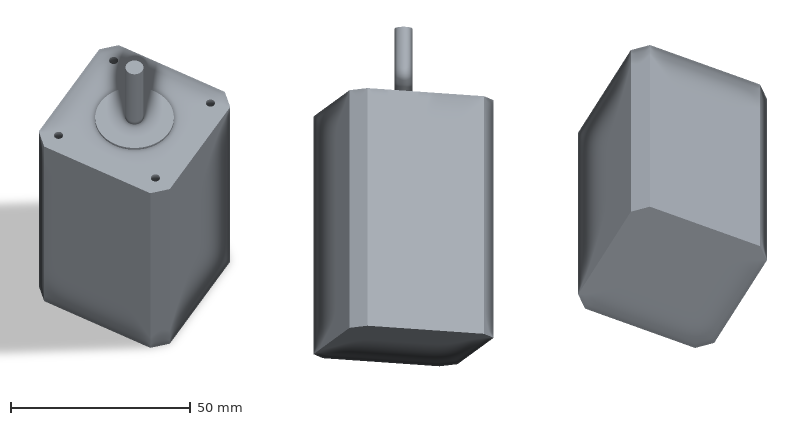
import cadquery as cq
import math

total_height = 90.75
body_width = 42.0
body_height = 68.0
corner_chamfer = 4.0

pilot_diameter = 22.0
pilot_height = 0.7
shaft_diameter = 5.0

hole_spacing = 31.0
hole_diameter = 2.5
hole_depth = 4.5
drill_point_angle = 118.0

body = (
    cq.Workplane("XY")
    .rect(body_width, body_width)
    .extrude(body_height)
    .edges("|Z")
    .chamfer(corner_chamfer)
)

hole_radius = hole_diameter / 2
tip_height = hole_radius / math.tan(math.radians(drill_point_angle / 2))
drill_profile = (
    cq.Workplane("XZ")
    .moveTo(0, 0)
    .lineTo(hole_radius, 0)
    .lineTo(hole_radius, -hole_depth)
    .lineTo(0, -hole_depth - tip_height)
    .close()
)
drill = drill_profile.revolve(360, (0, 0), (0, 1))
mounting_holes = (
    cq.Workplane("XY")
    .workplane(offset=body_height)
    .rect(hole_spacing, hole_spacing, forConstruction=True)
    .vertices()
    .eachpoint(drill.val(), combine=False)
)

pilot = (
    cq.Workplane("XY")
    .workplane(offset=body_height)
    .circle(pilot_diameter / 2)
    .extrude(pilot_height)
)
shaft = (
    cq.Workplane("XY")
    .workplane(offset=body_height)
    .circle(shaft_diameter / 2)
    .extrude(total_height - body_height)
)

result = body.cut(mounting_holes).union(pilot).union(shaft)